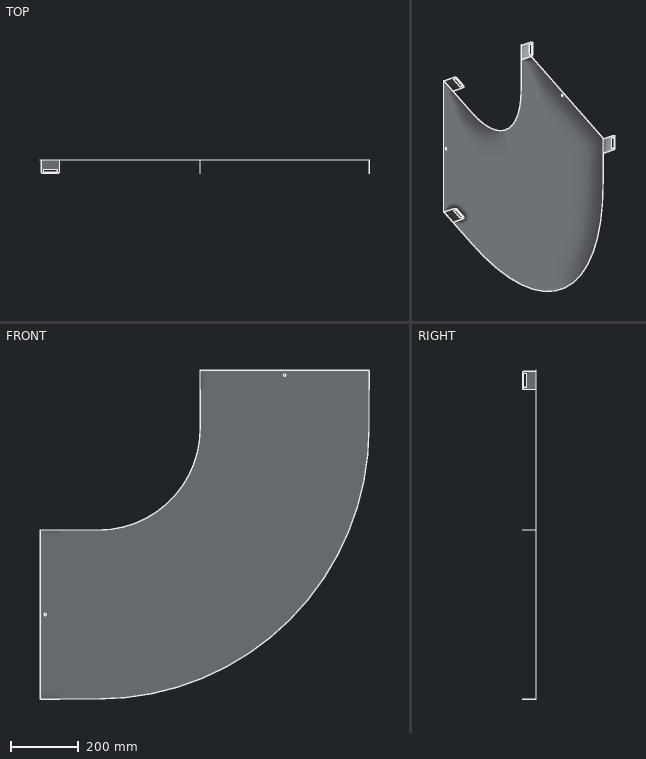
import cadquery as cq
import math

sheet = 1.0
plate_width = 500.0
inner_radius = 300.0
straight = 173.0
tab_overhang = 0.71
tab_length = 55.0
tab_setback = 3.0
tab_depth = 40.71
corner_radius = 6.0
slot_length = 40.0
slot_height = 8.0
slot_edge_gap = 4.0
hole_diameter = 6.3
hole_setback = 15.0

outer_radius = inner_radius + plate_width
reach = straight + outer_radius
inner_edge = reach - plate_width
tab_center = tab_setback + tab_length / 2
slot_center_y = -tab_depth + slot_edge_gap + slot_height / 2



def make_plate():
    """Flat 90 degree bend with a straight run at both ends."""
    diagonal = math.cos(math.radians(45))
    center_x = straight
    center_z = reach - straight
    return (
        cq.Workplane("XZ")
        .lineTo(straight, 0)
        .threePointArc(
            (center_x + outer_radius * diagonal, center_z - outer_radius * diagonal),
            (reach, center_z),
        )
        .lineTo(reach, reach)
        .lineTo(inner_edge, reach)
        .lineTo(inner_edge, center_z)
        .threePointArc(
            (center_x + inner_radius * diagonal, center_z - inner_radius * diagonal),
            (straight, plate_width),
        )
        .lineTo(0, plate_width)
        .close()
        .extrude(sheet)
    )


def make_lower_tab():
    """Slotted tab towards -Y at the Z = 0 edge, sharp inside the bend and rounded outside."""
    outer_z = -tab_overhang
    inner_z = outer_z + sheet
    tab = (
        cq.Workplane("YZ", origin=(tab_setback, 0, 0))
        .moveTo(0, inner_z)
        .radiusArc((-sheet, outer_z), sheet)
        .lineTo(-tab_depth, outer_z)
        .lineTo(-tab_depth, inner_z)
        .lineTo(-sheet, inner_z)
        .close()
        .extrude(tab_length)
        .edges("|Z and <Y")
        .fillet(corner_radius)
    )
    slot = (
        cq.Workplane("XY", origin=(tab_center, slot_center_y, outer_z))
        .rect(slot_length, slot_height)
        .extrude(sheet)
    )
    return tab.cut(slot)


def make_end_tabs():
    """Both tabs of the X = 0 end."""
    lower = make_lower_tab()
    upper = lower.mirror("XY").translate((0, 0, plate_width))
    return lower.union(upper)


def make_hole():
    """Cutter for the round hole near the X = 0 end."""
    hole = cq.Workplane("XZ").center(hole_setback, plate_width / 2)
    return hole.circle(hole_diameter / 2).extrude(sheet)


def at_other_end(body):
    """Reflect features of the X = 0 end in the part's diagonal, onto the Z = reach end."""
    return body.mirror((1, 0, 1), (0, 0, reach))


end_tabs = make_end_tabs()
hole = make_hole()
result = make_plate().union(end_tabs).union(at_other_end(end_tabs))
result = result.cut(hole).cut(at_other_end(hole))